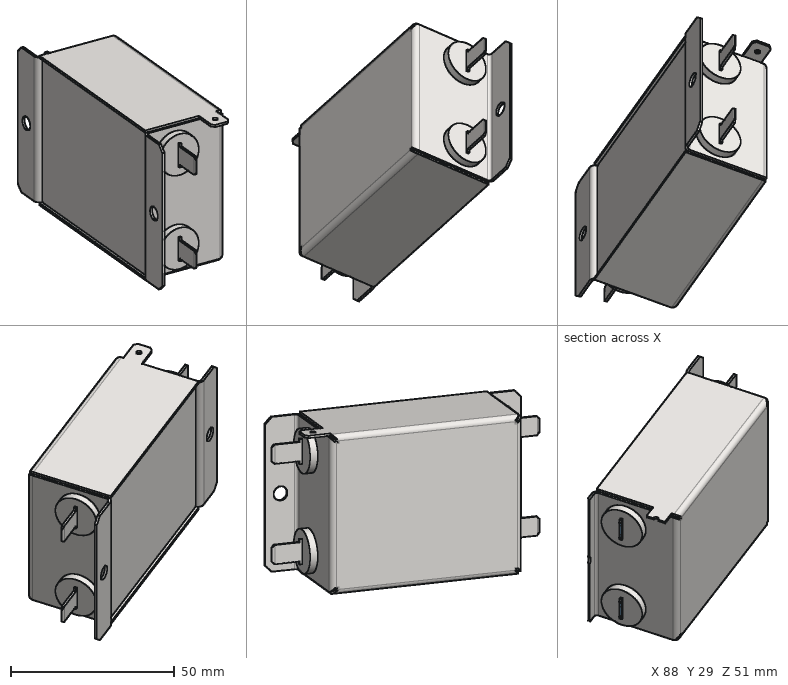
import cadquery as cq
import math

sheet = 0.8
case_width = 63.0
case_height = 51.0
case_depth = 28.2
bend_inner = 1.0
bend_outer = bend_inner + sheet
filling_width = case_width - 2 * sheet
filling_height = case_height - 2 * sheet
filling_recess = bend_inner

flange_span = 84.0
flange_chamfer = 2.1
mount_hole_spacing = 74.0
mount_hole_diameter = 4.5

earth_tab_end = 38.7
earth_tab_width = 6.3
earth_tab_y = 22.5
earth_tab_chamfer = 1.0
earth_hole_diameter = 1.6
earth_hole_x = 35.1

terminal_y = 10.25
terminal_spacing = 32.0
disc_diameter = 14.0
disc_thickness = 2.5
neck_length = 0.8
neck_width = 8.0
blade_span = 88.0
blade_width = 6.1
blade_thickness = 0.8
blade_bevel_length = 0.9
blade_tip_width = blade_width - 2 * blade_bevel_length
blade_tip_thickness = 0.3


def centred_box(x_size, y_start, y_end, z_size):
    """Box centred on X and Z that runs from y_start to y_end."""
    box = cq.Workplane("XY").box(x_size, y_end - y_start, z_size, centered=(True, False, True))
    return box.translate((0, y_start, 0))


def mirror_to_both_sides(right_half):
    """The given right-hand feature together with its mirror image on the left."""
    return right_half.union(right_half.mirror("YZ"))


def make_rounded_box(width, height):
    """Box as deep as the case, rounded along its four back edges."""
    box = centred_box(width, 0, case_depth, height)
    return box.faces(">Y").edges().fillet(bend_outer)


def make_case():
    """Two crossing boxes leave the corners open where adjacent walls meet; the front is recessed."""
    side_walls = make_rounded_box(case_width, filling_height)
    top_and_bottom = make_rounded_box(filling_width, case_height)
    case = side_walls.union(top_and_bottom)
    recess = centred_box(case_width, 0, filling_recess, filling_height)
    return case.cut(recess)


def make_flange():
    """Right-hand flange with the bend that joins it to the side wall."""
    wall_outside = case_width / 2
    wall_inside = wall_outside - sheet
    bend_x = wall_outside + bend_inner
    bend_y = bend_inner
    diagonal = math.sqrt(0.5)
    inner_mid = (bend_x - bend_inner * diagonal, bend_y - bend_inner * diagonal)
    outer_mid = (bend_x - bend_outer * diagonal, bend_y - bend_outer * diagonal)
    flange = (
        cq.Workplane("XY")
        .moveTo(wall_outside, bend_y)
        .threePointArc(inner_mid, (bend_x, 0))
        .lineTo(flange_span / 2, 0)
        .lineTo(flange_span / 2, -sheet)
        .lineTo(bend_x, -sheet)
        .threePointArc(outer_mid, (wall_inside, bend_y))
        .close()
        .extrude(filling_height / 2, both=True)
    )
    flange = flange.faces(">X").edges("|Y").chamfer(flange_chamfer)
    hole = (
        cq.Workplane("XZ")
        .center(mount_hole_spacing / 2, 0)
        .circle(mount_hole_diameter / 2)
        .extrude(sheet)
    )
    return flange.cut(hole)


def make_earth_tab():
    """Flat tab at the level of the top wall, overlapping it by one bend radius."""
    tab_start = filling_width / 2 - bend_inner
    tab = (
        cq.Workplane("XY", origin=(0, earth_tab_y, case_height / 2 - sheet))
        .center((tab_start + earth_tab_end) / 2, 0)
        .rect(earth_tab_end - tab_start, earth_tab_width)
        .extrude(sheet)
    )
    tab = tab.faces(">X").edges("|Z").chamfer(earth_tab_chamfer)
    hole = (
        cq.Workplane("XY", origin=(earth_hole_x, earth_tab_y, case_height / 2 - sheet))
        .circle(earth_hole_diameter / 2)
        .extrude(sheet)
    )
    return tab.cut(hole)


def make_terminal(z):
    """Right-hand terminal at height z."""
    disc_face = case_width / 2 + disc_thickness
    neck_end = disc_face + neck_length
    bevel_start = blade_span / 2 - blade_bevel_length

    def section(x):
        return cq.Workplane("YZ", origin=(x, terminal_y, z))

    disc = section(case_width / 2).circle(disc_diameter / 2).extrude(disc_thickness)
    neck = section(disc_face).rect(blade_thickness, neck_width).extrude(neck_length)
    blade = section(neck_end).rect(blade_thickness, blade_width).extrude(bevel_start - neck_end)
    tip = (
        section(bevel_start)
        .rect(blade_thickness, blade_width)
        .workplane(offset=blade_bevel_length)
        .rect(blade_tip_thickness, blade_tip_width)
        .loft(ruled=True)
    )
    return disc.union(neck).union(blade).union(tip)


result = make_case()
result = result.union(mirror_to_both_sides(make_flange()))
result = result.union(make_earth_tab())
for terminal_z in (-terminal_spacing / 2, terminal_spacing / 2):
    result = result.union(mirror_to_both_sides(make_terminal(terminal_z)))